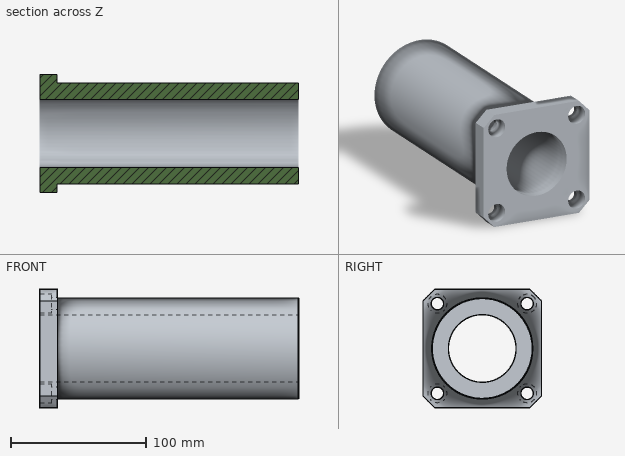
import cadquery as cq

total_length = 192.0
flange_side = 88.0
flange_thickness = 13.0
corner_cut = 8.8

sleeve_diameter = 75.0
bore_diameter = 50.0
end_chamfer = 0.5

hole_spacing = 66.5
hole_diameter = 9.0
counterbore_diameter = 14.0
counterbore_depth = 8.6


def make_flange():
    """Square plate with cut corners, its outer face at X = 0."""
    plate = cq.Workplane("YZ").rect(flange_side, flange_side).extrude(flange_thickness)
    return plate.edges("|X").chamfer(corner_cut)


def make_sleeve():
    """Round sleeve along X with a chamfered free end."""
    sleeve = cq.Workplane("YZ").circle(sleeve_diameter / 2).extrude(total_length)
    return sleeve.faces(">X").edges().chamfer(end_chamfer)


def hole_cutter(diameter, depth):
    """Four cylinders at the mounting holes, starting at the outer flange face."""
    pattern = cq.Workplane("YZ").rect(hole_spacing, hole_spacing, forConstruction=True)
    return pattern.vertices().circle(diameter / 2).extrude(depth)


bore = cq.Workplane("YZ").circle(bore_diameter / 2).extrude(total_length)

result = (
    make_flange()
    .union(make_sleeve())
    .cut(bore)
    .cut(hole_cutter(hole_diameter, flange_thickness))
    .cut(hole_cutter(counterbore_diameter, counterbore_depth))
)